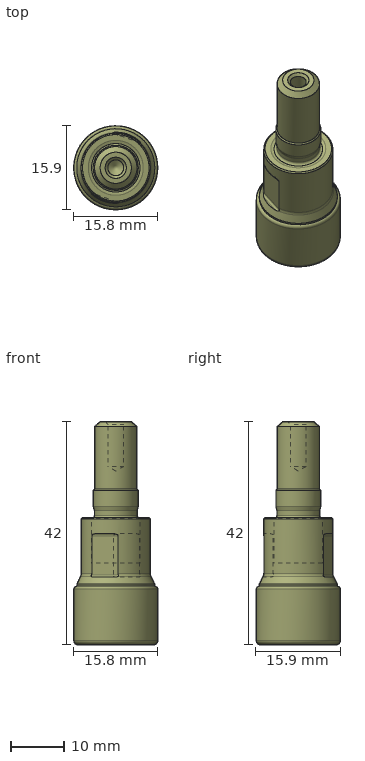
import cadquery as cq
import math

TOTAL_HEIGHT = 42.0

ARC_MIDDLE = math.sqrt(0.5)

HOUSING_TOP = 23.95
BARREL_RADIUS = 13.0 / 2
BARREL_CHAMFER = 0.25
FLARE_FILLET_START = 13.5
FLARE_FILLET_RADIUS = 1.35
BAND_RADIUS = 14.7 / 2
BAND_TOP = 11.42
BASE_RADIUS = 15.85 / 2
BASE_TOP = 11.05
BASE_TOP_ROUND = BASE_RADIUS - BAND_RADIUS
BASE_BOTTOM_ROUND = 0.85
COUNTERSINK_RADIUS = 10.35 / 2
COUNTERSINK_DEPTH = 0.13

FLAT_DISTANCE = 5.95
FLAT_BOTTOM = 12.75
FLAT_TOP = 20.95
FLAT_END_ROUND = 0.4
FLAT_ANGLE = 20.0
CUTTER_DEPTH = 2.1
CUTTER_WIDTH = 2 * BASE_RADIUS

SHAFT_RADIUS = 8.0 / 2
SHAFT_CHAMFER_WIDTH = 1.05
SHAFT_CHAMFER_HEIGHT = 0.92
COLLAR_RADIUS = 8.5 / 2
COLLAR_TOP = 29.3
COLLAR_BOTTOM = 26.0
NECK_RADIUS = 8.1 / 2
NECK_TOP = 25.3
NECK_FILLET = 0.5
ROOT_RADIUS = NECK_RADIUS + NECK_FILLET
ROOT_TOP = HOUSING_TOP - COUNTERSINK_DEPTH
ROOT_DEPTH = 8.4
ROOT_BOTTOM = ROOT_TOP - ROOT_DEPTH

HOLE_RADIUS = 3.0 / 2
HOLE_MOUTH_RADIUS = 4.0 / 2
HOLE_DEPTH = 8.4
HOLE_TIP_ANGLE = 118.0


def revolve(profile):
    """Turn a closed (radius, height) profile about the Z axis."""
    return profile.close().revolve(360, (0, 0, 0), (0, 1, 0))


def flat_cutter():
    """Block that cuts one flat facing -Y, with rounded corners where the flat meets its end walls."""
    height = FLAT_TOP - FLAT_BOTTOM
    return (
        cq.Workplane("XY")
        .box(CUTTER_WIDTH, CUTTER_DEPTH, height)
        .edges("|X and >Y")
        .fillet(FLAT_END_ROUND)
        .translate((0, -FLAT_DISTANCE - CUTTER_DEPTH / 2, (FLAT_TOP + FLAT_BOTTOM) / 2))
    )


def flare_angle():
    """Angle from the axis of the cone that leaves the flare fillet and meets the band edge."""
    across = BARREL_RADIUS + FLARE_FILLET_RADIUS - BAND_RADIUS
    drop = FLARE_FILLET_START - BAND_TOP
    return math.atan2(drop, across) - math.acos(FLARE_FILLET_RADIUS / math.hypot(across, drop))


def make_housing():
    centre_r = BARREL_RADIUS + FLARE_FILLET_RADIUS

    def flare_point(angle):
        return (
            centre_r - FLARE_FILLET_RADIUS * math.cos(angle),
            FLARE_FILLET_START - FLARE_FILLET_RADIUS * math.sin(angle),
        )

    angle = flare_angle()
    profile = (
        cq.Workplane("XZ")
        .moveTo(0, 0)
        .lineTo(BASE_RADIUS - BASE_BOTTOM_ROUND, 0)
        .radiusArc((BASE_RADIUS, BASE_BOTTOM_ROUND), -BASE_BOTTOM_ROUND)
        .lineTo(BASE_RADIUS, BASE_TOP - BASE_TOP_ROUND)
        .threePointArc(
            (BAND_RADIUS + BASE_TOP_ROUND * ARC_MIDDLE, BASE_TOP - BASE_TOP_ROUND * (1 - ARC_MIDDLE)),
            (BAND_RADIUS, BASE_TOP),
        )
        .lineTo(BAND_RADIUS, BAND_TOP)
        .lineTo(*flare_point(angle))
        .threePointArc(flare_point(angle / 2), flare_point(0))
        .lineTo(BARREL_RADIUS, HOUSING_TOP - BARREL_CHAMFER)
        .lineTo(BARREL_RADIUS - BARREL_CHAMFER, HOUSING_TOP)
        .lineTo(COUNTERSINK_RADIUS, HOUSING_TOP)
        .lineTo(ROOT_RADIUS, ROOT_TOP)
        .lineTo(ROOT_RADIUS, ROOT_BOTTOM)
        .lineTo(0, ROOT_BOTTOM)
    )
    body = revolve(profile)
    for turn in (0, 180):
        body = body.cut(flat_cutter().rotate((0, 0, 0), (0, 0, 1), turn - FLAT_ANGLE))
    return body


def make_pin():
    hole_bottom = TOTAL_HEIGHT - HOLE_DEPTH
    hole_tip = hole_bottom - HOLE_RADIUS / math.tan(math.radians(HOLE_TIP_ANGLE / 2))
    mouth_depth = HOLE_MOUTH_RADIUS - HOLE_RADIUS
    collar_chamfer = COLLAR_RADIUS - SHAFT_RADIUS
    profile = (
        cq.Workplane("XZ")
        .moveTo(0, ROOT_BOTTOM)
        .lineTo(ROOT_RADIUS, ROOT_BOTTOM)
        .lineTo(ROOT_RADIUS, ROOT_TOP)
        .threePointArc(
            (ROOT_RADIUS - NECK_FILLET * ARC_MIDDLE, ROOT_TOP + NECK_FILLET * (1 - ARC_MIDDLE)),
            (NECK_RADIUS, ROOT_TOP + NECK_FILLET),
        )
        .lineTo(NECK_RADIUS, NECK_TOP)
        .lineTo(COLLAR_RADIUS, COLLAR_BOTTOM)
        .lineTo(COLLAR_RADIUS, COLLAR_TOP - collar_chamfer)
        .lineTo(SHAFT_RADIUS, COLLAR_TOP)
        .lineTo(SHAFT_RADIUS, TOTAL_HEIGHT - SHAFT_CHAMFER_HEIGHT)
        .lineTo(SHAFT_RADIUS - SHAFT_CHAMFER_WIDTH, TOTAL_HEIGHT)
        .lineTo(HOLE_MOUTH_RADIUS, TOTAL_HEIGHT)
        .lineTo(HOLE_RADIUS, TOTAL_HEIGHT - mouth_depth)
        .lineTo(HOLE_RADIUS, hole_bottom)
        .lineTo(0, hole_tip)
    )
    return revolve(profile)


housing = make_housing()
pin = make_pin()

result = cq.Compound.makeCompound([housing.val(), pin.val()])